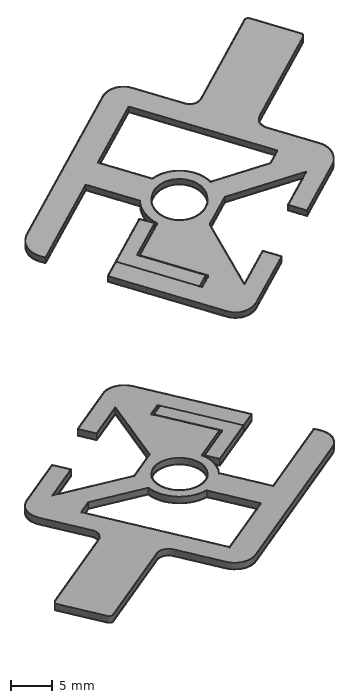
import cadquery as cq

thickness = 1.0
frame_side = 30.0
total_length = 46.0
frame_half = frame_side / 2
corner_radius = 2.75

handle_width = 7.65
handle_tip_y = total_length - frame_half
handle_tip_radius = 0.5
handle_root_radius = 1.5

hub_diameter = 9.55
bore_diameter = 6.8

left_inner_x = -11.45
arm_half_width = 2.0
window_top_y = 11.95
inner_right_x = 7.95
window_corner_y = 9.7

slot_floor_x = 4.9
slot_floor_half_width = 2.45
slot_wide_x = 12.5
slot_wide_half_width = slot_floor_half_width + slot_wide_x - slot_floor_x
slot_mouth_half_width = 4.1

ledge_left_x = -3.3
ledge_y = -12.4
insert_arm_width = 2.0
insert_length = 10.95
insert_height = 7.65
side_gap = 0.3
top_gap = 0.1
recess_wall_x = ledge_left_x + insert_arm_width + side_gap
recess_top_y = ledge_y + insert_arm_width + top_gap


def prism(points):
    """Extrude a closed outline through the plate thickness."""
    return cq.Workplane("XY").polyline(points).close().extrude(thickness)


def disc(diameter):
    """Disc of plate thickness about the hub axis."""
    return cq.Workplane("XY").circle(diameter / 2).extrude(thickness)


def make_blank():
    """Rounded square frame blank joined to its filleted handle."""
    square = (
        cq.Workplane("XY")
        .rect(frame_side, frame_side)
        .extrude(thickness)
        .edges("|Z")
        .fillet(corner_radius)
    )
    handle = (
        cq.Workplane("XY")
        .center(0, handle_tip_y / 2)
        .rect(handle_width, handle_tip_y)
        .extrude(thickness)
        .edges("|Z and >Y")
        .fillet(handle_tip_radius)
    )
    blank = square.union(handle)
    for side in (-1, 1):
        root_x = side * handle_width / 2
        arc_start = (root_x + side * handle_root_radius, frame_half)
        arc_end = (root_x, frame_half + handle_root_radius)
        root_fillet = (
            cq.Workplane("XY")
            .moveTo(root_x, frame_half)
            .lineTo(*arc_start)
            .radiusArc(arc_end, side * handle_root_radius)
            .close()
            .extrude(thickness)
        )
        blank = blank.union(root_fillet)
    return blank


def make_window():
    """Upper opening, bounded by the arm, the hub and a 45 degree rib."""
    rib_end_x = inner_right_x - (window_corner_y - arm_half_width)
    opening = prism([
        (left_inner_x, arm_half_width),
        (left_inner_x, window_top_y),
        (inner_right_x, window_top_y),
        (inner_right_x, window_corner_y),
        (rib_end_x, arm_half_width),
    ])
    return opening.cut(disc(hub_diameter))


def make_lower_opening():
    """Lower opening through the bottom side, including the recess of the insert."""
    opening = prism([
        (left_inner_x, -arm_half_width),
        (recess_wall_x, -arm_half_width),
        (recess_wall_x, recess_top_y),
        (inner_right_x, recess_top_y),
        (inner_right_x, ledge_y),
        (ledge_left_x, ledge_y),
        (ledge_left_x, -frame_half),
        (left_inner_x, -frame_half),
    ])
    return opening.cut(disc(hub_diameter))


def make_side_slot():
    """Slot that widens behind its mouth and narrows to a flat floor by the hub."""
    return prism([
        (slot_floor_x, -slot_floor_half_width),
        (slot_wide_x, -slot_wide_half_width),
        (slot_wide_x, -slot_mouth_half_width),
        (frame_half, -slot_mouth_half_width),
        (frame_half, slot_mouth_half_width),
        (slot_wide_x, slot_mouth_half_width),
        (slot_wide_x, slot_wide_half_width),
        (slot_floor_x, slot_floor_half_width),
    ])


def make_frame():
    """Frame with its handle, hub bore and openings."""
    frame = make_blank()
    for opening in (make_window(), make_lower_opening(), make_side_slot(), disc(bore_diameter)):
        frame = frame.cut(opening)
    return frame


def make_insert():
    """L-shaped insert lying on the ledge, flush with its left end."""
    return prism([
        (0, 0),
        (insert_length, 0),
        (insert_length, insert_arm_width),
        (insert_arm_width, insert_arm_width),
        (insert_arm_width, insert_height),
        (0, insert_height),
    ]).translate((ledge_left_x, ledge_y, 0))


frame = make_frame()
insert = make_insert()
result = cq.Compound.makeCompound([frame.solids().val(), insert.solids().val()])